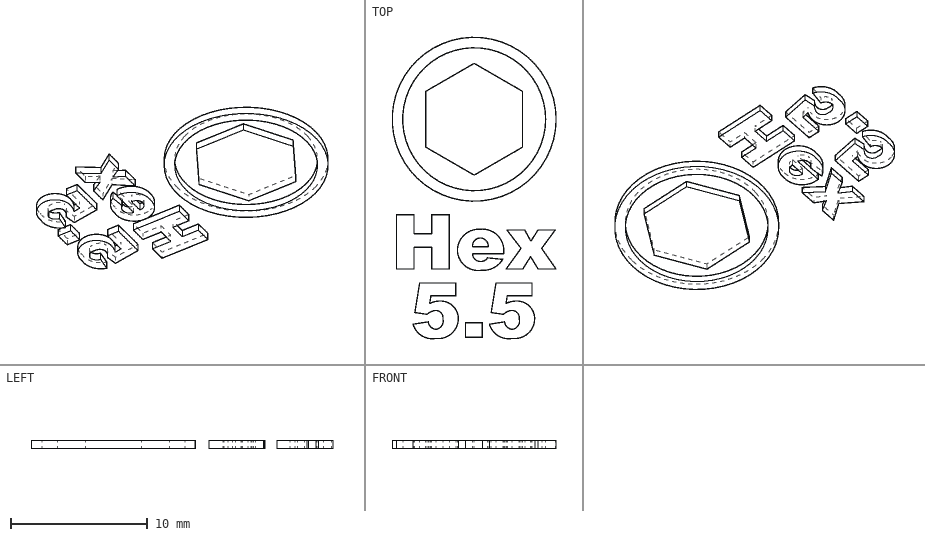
import cadquery as cq
import math

thickness = 0.6

ring_outer_diameter = 12.0
ring_inner_diameter = 10.45
hexagon_across_corners = 8.19

capital_height = 4.0
hex_baseline = -10.97
size_baseline = -15.95

letter_h_left = -5.7
letter_e_left = -1.24
letter_x_left = 2.32
five_lefts = (-4.48, 1.1)
point_left = -0.65

letter_h_width = 3.88
letter_h_stem = 1.3
letter_h_bar_bottom = 1.6
letter_h_bar_top = 2.6

letter_e_bar_bottom = 1.13
letter_e_bar_top = 1.65
letter_e_bowl_left = 1.13
letter_e_bowl_right = 2.25
letter_e_eye_top = 2.27

letter_x_height = 2.87

point_width = 1.24
point_height = 1.08

five_flag_right = 3.13
five_flag_bottom = 3.05


def character_plane(left, baseline):
    """Workplane whose origin is the left end of a character's baseline."""
    return cq.Workplane("XY", origin=(left, baseline, 0))


def make_ring():
    outer = cq.Workplane("XY").circle(ring_outer_diameter / 2)
    return outer.circle(ring_inner_diameter / 2).extrude(thickness)


def make_hexagon():
    """Regular hexagon with one corner pointing along +Y."""
    corner_radius = hexagon_across_corners / 2
    corners = []
    for index in range(6):
        angle = math.radians(90 + 60 * index)
        corners.append((corner_radius * math.cos(angle), corner_radius * math.sin(angle)))
    return cq.Workplane("XY").polyline(corners).close().extrude(thickness)


def make_letter_h():
    right_stem_left = letter_h_width - letter_h_stem
    outline = [
        (0, 0),
        (letter_h_stem, 0),
        (letter_h_stem, letter_h_bar_bottom),
        (right_stem_left, letter_h_bar_bottom),
        (right_stem_left, 0),
        (letter_h_width, 0),
        (letter_h_width, capital_height),
        (right_stem_left, capital_height),
        (right_stem_left, letter_h_bar_top),
        (letter_h_stem, letter_h_bar_top),
        (letter_h_stem, capital_height),
        (0, capital_height),
    ]
    plane = character_plane(letter_h_left, hex_baseline)
    return plane.polyline(outline).close().extrude(thickness)


def make_letter_e():
    """Round letter with an open lower bowl and a closed, arched eye."""
    plane = character_plane(letter_e_left, hex_baseline)
    body = (
        plane.moveTo(letter_e_bowl_left, letter_e_bar_bottom)
        .threePointArc((1.3, 0.73), (1.7, 0.57))
        .threePointArc((2.0, 0.65), (2.2, 0.84))
        .lineTo(3.33, 0.73)
        .threePointArc((2.74, 0.13), (1.79, -0.09))
        .threePointArc((0.49, 0.3), (0, 1.4))
        .threePointArc((0.49, 2.5), (1.68, 2.94))
        .threePointArc((2.95, 2.47), (3.4, letter_e_bar_bottom))
        .close()
        .extrude(thickness)
    )
    eye_middle = (letter_e_bowl_left + letter_e_bowl_right) / 2
    eye = (
        plane.moveTo(letter_e_bowl_left, letter_e_bar_top)
        .threePointArc((eye_middle, letter_e_eye_top), (letter_e_bowl_right, letter_e_bar_top))
        .close()
        .extrude(thickness)
    )
    return body.cut(eye)


def make_letter_x():
    outline = [
        (0, 0),
        (1.24, 0),
        (1.8, 0.9),
        (2.36, 0),
        (3.69, 0),
        (2.63, 1.52),
        (3.62, letter_x_height),
        (2.35, letter_x_height),
        (1.83, 2.05),
        (1.4, letter_x_height),
        (0.07, letter_x_height),
        (1.1, 1.52),
    ]
    plane = character_plane(letter_x_left, hex_baseline)
    return plane.polyline(outline).close().extrude(thickness)


def make_five(left):
    """Digit with a straight flag at the top and a round open bowl below it."""
    return (
        character_plane(left, size_baseline)
        .moveTo(0.13, 1.8)
        .lineTo(0.49, capital_height)
        .lineTo(five_flag_right, capital_height)
        .lineTo(five_flag_right, five_flag_bottom)
        .lineTo(1.32, five_flag_bottom)
        .lineTo(1.24, 2.5)
        .threePointArc((1.61, 2.63), (2.0, 2.67))
        .threePointArc((2.94, 2.3), (3.33, 1.4))
        .threePointArc((2.91, 0.35), (1.68, -0.09))
        .threePointArc((0.55, 0.18), (0, 0.97))
        .lineTo(1.13, 1.15)
        .threePointArc((1.3, 0.77), (1.68, 0.6))
        .threePointArc((2.07, 0.82), (2.18, 1.35))
        .threePointArc((2.07, 1.77), (1.68, 1.96))
        .threePointArc((1.32, 1.88), (1.04, 1.68))
        .close()
        .extrude(thickness)
    )


def make_decimal_point():
    plane = character_plane(point_left, size_baseline)
    return plane.rect(point_width, point_height, centered=False).extrude(thickness)


ring = make_ring()
hexagon = make_hexagon()
letter_h = make_letter_h()
letter_e = make_letter_e()
letter_x = make_letter_x()
decimal_point = make_decimal_point()
fives = [make_five(left) for left in five_lefts]

result = cq.Compound.makeCompound([
    ring.val(),
    hexagon.val(),
    letter_h.val(),
    letter_e.val(),
    letter_x.val(),
    decimal_point.val(),
    *[five.val() for five in fives],
])